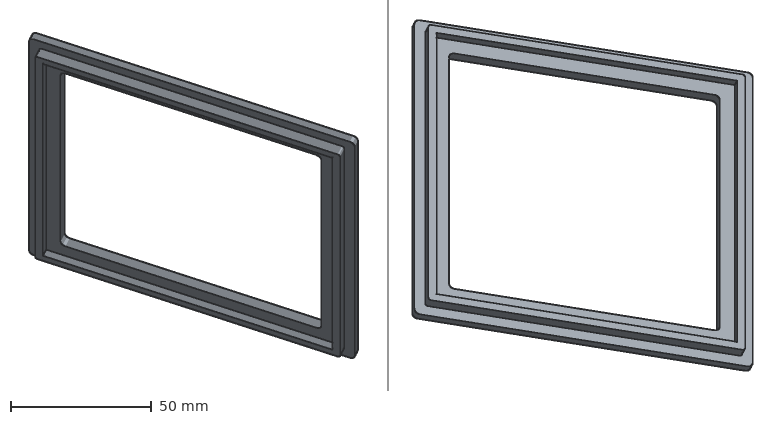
import cadquery as cq

frame_side = 125.0
total_depth = 7.0
plate_thickness = 3.0
plate_corner_radius = 2.0

opening_side = 100.0
opening_corner_radius = 2.0

step_side = 117.0
step_corner_radius = 1.0
step_height = total_depth - plate_thickness

rim_wall = 3.0
recess_depth = 3.0
recess_side = step_side - 2 * rim_wall


def square_block(side, y_start, depth, corner_radius=0.0):
    """Square block centred on the Y axis, running from y_start towards +Y."""
    block = cq.Workplane("XY").box(side, depth, side, centered=(True, False, True))
    if corner_radius > 0:
        block = block.edges("|Y").fillet(corner_radius)
    return block.translate((0, y_start, 0))


def make_plate():
    return square_block(frame_side, 0, plate_thickness, plate_corner_radius)


def make_step():
    return square_block(step_side, -step_height, step_height, step_corner_radius)


def make_recess():
    return square_block(recess_side, -step_height, recess_depth)


def make_opening():
    return square_block(opening_side, -step_height, total_depth, opening_corner_radius)


result = make_plate().union(make_step()).cut(make_recess()).cut(make_opening())